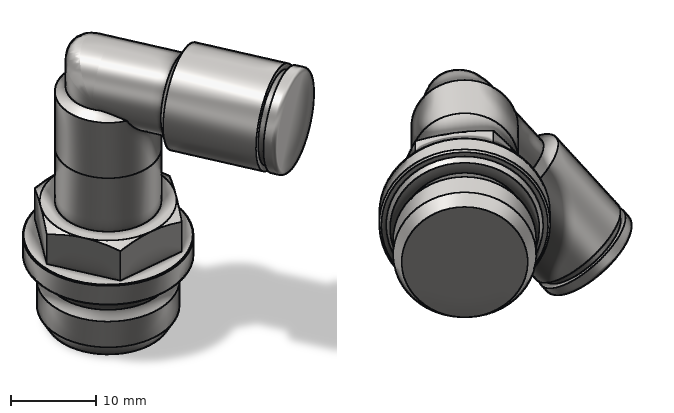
import cadquery as cq

TOTAL_HEIGHT = 41.0
TOTAL_LENGTH = 33.5

FLANGE_R = 20.0 / 2
FLANGE_Z = 8.95
FLANGE_TOP_Z = 11.97
FLANGE_TOP_EDGE = 0.12
FLANGE_BOTTOM_EDGE = 0.25

THREAD_R = 16.73 / 2
THREAD_END_R = 14.75 / 2
THREAD_START_Z = 1.75
THREAD_TOP_Z = 5.5
UNDERCUT_Z = 6.48
UNDERCUT_R = THREAD_END_R

HEX_FLATS = 16.0
HEX_TOP_Z = 16.97
HEX_CHAMFER_SLOPE = 3 ** -0.5

SEAL_Z = 8.25
SEAL_BOTTOM_R = 8.75
SEAL_TOP_R = 9.2

STEM_R = 12.5 / 2
STEM_SPLIT_Z = 24.72
STEM_SHOULDER_Z = 32.75

TUBE_R = 10.0 / 2
CORNER_FILLET = 2.0
SHOULDER_CONE_H = 0.78

SOCKET_R = 13.0 / 2
OUTLET_Z = TOTAL_HEIGHT - SOCKET_R
OUTLET_END_X = TOTAL_LENGTH - FLANGE_R
SOCKET_X = 8.53
SOCKET_CONE_L = 0.85
SOCKET_END_X = 21.05

RING_NECK_R = 11.55 / 2
RING_RIM_X = 21.98
RING_FILLET = 0.55


def turned_upright(profile):
    """Revolve (radius, z) points about the Z axis."""
    return cq.Workplane("XZ").polyline(profile).close().revolve(360, (0, 0, 0), (0, 1, 0))


def turned_along_outlet(profile):
    """Revolve (x, radius) points about the outlet axis."""
    flat = cq.Workplane("XZ").polyline(profile).close()
    return flat.revolve(360, (0, 0, 0), (1, 0, 0)).translate((0, 0, OUTLET_Z))


def make_hexagon():
    """Hexagon with corners on the X axis and a crowned top."""
    corner_r = HEX_FLATS / 3 ** 0.5
    crown_drop = (corner_r - HEX_FLATS / 2) * HEX_CHAMFER_SLOPE
    hexagon = (
        cq.Workplane("XY")
        .workplane(offset=FLANGE_TOP_Z)
        .polygon(6, 2 * corner_r)
        .extrude(HEX_TOP_Z - FLANGE_TOP_Z)
    )
    crown = turned_upright([
        (0, FLANGE_TOP_Z),
        (corner_r, FLANGE_TOP_Z),
        (corner_r, HEX_TOP_Z - crown_drop),
        (HEX_FLATS / 2, HEX_TOP_Z),
        (0, HEX_TOP_Z),
    ])
    return hexagon.intersect(crown)


def make_stud():
    """Threaded end, flange, hexagon and the lower part of the stem."""
    turned = turned_upright([
        (0, 0),
        (THREAD_END_R, 0),
        (THREAD_R, THREAD_START_Z),
        (THREAD_R, THREAD_TOP_Z),
        (UNDERCUT_R, UNDERCUT_Z),
        (UNDERCUT_R, FLANGE_Z),
        (FLANGE_R - FLANGE_BOTTOM_EDGE, FLANGE_Z),
        (FLANGE_R, FLANGE_Z + FLANGE_BOTTOM_EDGE),
        (FLANGE_R, FLANGE_TOP_Z - FLANGE_TOP_EDGE),
        (FLANGE_R - FLANGE_TOP_EDGE, FLANGE_TOP_Z),
        (STEM_R, FLANGE_TOP_Z),
        (STEM_R, STEM_SPLIT_Z),
        (0, STEM_SPLIT_Z),
    ])
    return turned.union(make_hexagon())


def make_seal():
    """Tapered ring around the undercut, against the flange."""
    return turned_upright([
        (UNDERCUT_R, SEAL_Z),
        (SEAL_BOTTOM_R, SEAL_Z),
        (SEAL_TOP_R, FLANGE_Z),
        (UNDERCUT_R, FLANGE_Z),
    ])


def make_tube_corner():
    """Outer corner shared by the two tubes, with a rounded mitre edge."""
    upright = (
        cq.Workplane("XY")
        .workplane(offset=OUTLET_Z - TUBE_R)
        .circle(TUBE_R)
        .extrude(2 * TUBE_R)
    )
    level = (
        cq.Workplane("YZ", origin=(-TUBE_R, 0, OUTLET_Z))
        .circle(TUBE_R)
        .extrude(2 * TUBE_R)
    )
    quadrant = cq.Workplane("XY").box(TUBE_R, 2 * TUBE_R, TUBE_R, centered=(False, True, False))
    quadrant = quadrant.translate((-TUBE_R, 0, OUTLET_Z))
    corner = upright.intersect(level).intersect(quadrant)
    mitre_point = (-TUBE_R, 0, OUTLET_Z + TUBE_R)
    return corner.edges(cq.selectors.NearestToPointSelector(mitre_point)).fillet(CORNER_FILLET)


def make_elbow():
    """Upper stem, bent tube with a rounded outer mitre edge, and outlet socket."""
    stem = turned_upright([
        (0, STEM_SPLIT_Z),
        (STEM_R, STEM_SPLIT_Z),
        (STEM_R, STEM_SHOULDER_Z),
        (TUBE_R, STEM_SHOULDER_Z + SHOULDER_CONE_H),
        (TUBE_R, OUTLET_Z),
        (0, OUTLET_Z),
    ])
    outlet = turned_along_outlet([
        (0, 0),
        (0, TUBE_R),
        (SOCKET_X, TUBE_R),
        (SOCKET_X + SOCKET_CONE_L, SOCKET_R),
        (SOCKET_END_X, SOCKET_R),
        (SOCKET_END_X, 0),
    ])
    return stem.union(outlet).union(make_tube_corner())


def make_release_ring():
    """Push ring at the socket mouth: a narrow neck and a rim with a rounded outer edge."""
    ring = turned_along_outlet([
        (SOCKET_END_X, 0),
        (SOCKET_END_X, RING_NECK_R),
        (RING_RIM_X, RING_NECK_R),
        (RING_RIM_X, SOCKET_R),
        (OUTLET_END_X, SOCKET_R),
        (OUTLET_END_X, 0),
    ])
    return ring.faces(">X").edges().fillet(RING_FILLET)


stud = make_stud()
seal = make_seal()
elbow = make_elbow()
release_ring = make_release_ring()

result = cq.Compound.makeCompound([stud.val(), seal.val(), elbow.val(), release_ring.val()])